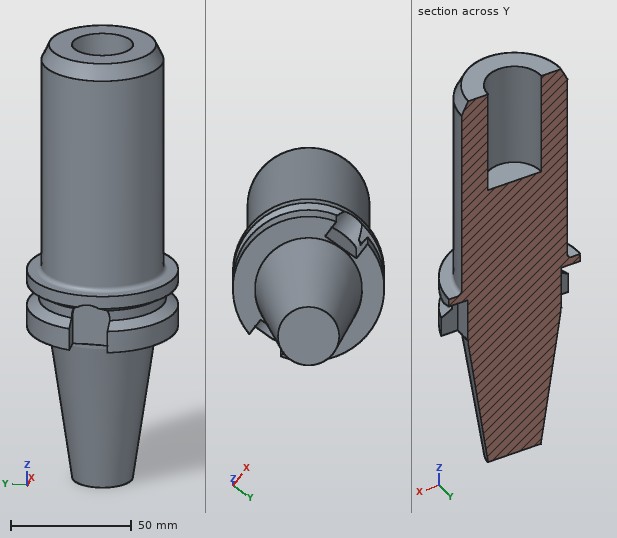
import cadquery as cq

total_height = 192.4
taper_height = 65.5
collar_height = 2.0
flange_height = 25.0

taper_small_radius = 25.4 / 2
taper_large_radius = 44.5 / 2

flange_radius = 63.0 / 2
groove_radius = 53.0 / 2
groove_lower_edge = 9.5
groove_floor_bottom = 12.3
groove_floor_top = 16.7
groove_upper_edge = 19.6

slot_width = 16.2
slot_height = 21.0
slot_floor_distance = 22.5

body_radius = 50.8 / 2
root_fillet = 2.0
nose_height = 6.5
nose_radius = 44.5 / 2
bore_diameter = 25.4
bore_depth = 50.0

gauge_z = taper_height
flange_bottom = gauge_z + collar_height
flange_top = flange_bottom + flange_height


def make_holder():
    """Revolve the half section of the shank, flange and body about Z."""
    profile = (
        cq.Workplane("XZ")
        .moveTo(0, 0)
        .lineTo(taper_small_radius, 0)
        .lineTo(taper_large_radius, gauge_z)
        .lineTo(taper_large_radius, flange_bottom)
        .lineTo(flange_radius, flange_bottom)
        .lineTo(flange_radius, flange_bottom + groove_lower_edge)
        .lineTo(groove_radius, flange_bottom + groove_floor_bottom)
        .lineTo(groove_radius, flange_bottom + groove_floor_top)
        .lineTo(flange_radius, flange_bottom + groove_upper_edge)
        .lineTo(flange_radius, flange_top)
        .lineTo(body_radius + root_fillet, flange_top)
        .tangentArcPoint((body_radius, flange_top + root_fillet), relative=False)
        .lineTo(body_radius, total_height - nose_height)
        .lineTo(nose_radius, total_height)
        .lineTo(0, total_height)
        .close()
    )
    return profile.revolve(360, (0, 0, 0), (0, 1, 0))


def make_slot(side):
    """Round-topped drive slot cutter; side is +1 for +X or -1 for -X."""
    half_width = slot_width / 2
    slot_top = flange_bottom + slot_height
    arc_start = slot_top - half_width
    return (
        cq.Workplane("YZ")
        .workplane(offset=side * slot_floor_distance)
        .moveTo(-half_width, flange_bottom)
        .lineTo(half_width, flange_bottom)
        .lineTo(half_width, arc_start)
        .threePointArc((0, slot_top), (-half_width, arc_start))
        .close()
        .extrude(side * flange_radius)
    )


result = make_holder()
for side in (-1, 1):
    result = result.cut(make_slot(side))
result = result.faces(">Z").workplane(origin=(0, 0, total_height)).hole(bore_diameter, bore_depth)